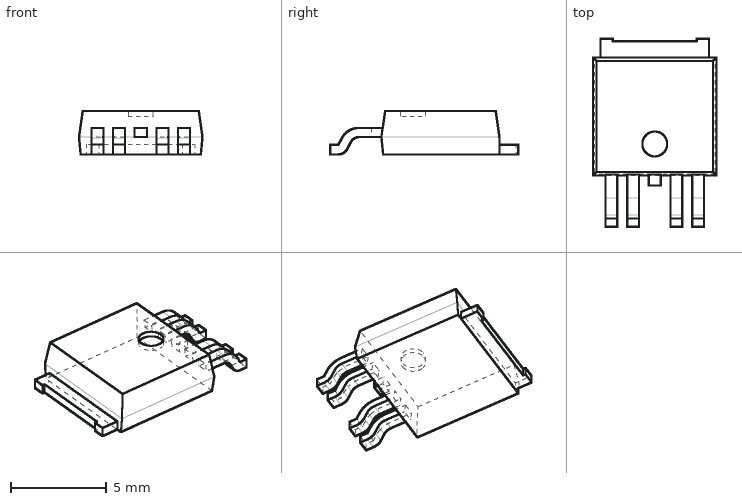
import cadquery as cq
import math

height = 2.3
parting_z = 0.91
housing_width = 6.5
housing_front_y = -2.26
housing_back_y = 3.96
upper_inset = 0.2
lower_inset = 0.09

recess_diameter = 1.31
recess_y = -0.59
recess_depth = 0.3

tab_width = 5.71
tab_height = 0.52
tab_end_y = 4.95
notch_width = 4.4
notch_depth = 0.14

lead_width = 0.63
lead_thickness = 0.495
lead_pitch = 1.14
lead_end_y = -4.95
stub_end_y = -2.78
lead_top_z = parting_z + lead_thickness
lead_slots = (-2, -1, 1, 2)

heel_y = -4.51
foot_height = tab_height
leg_angle = math.radians(62)
shoulder_radius = 1.02

upper_height = height - parting_z
lead_top_root_y = housing_front_y + upper_inset * lead_thickness / upper_height


def drafted_half(top_or_bottom_z, side_inset, front_inset, back_inset):
    """Loft from the parting outline to a smaller rectangle at the given level."""
    full_depth = housing_back_y - housing_front_y
    return (
        cq.Workplane("XY", origin=(0, 0, parting_z))
        .center(0, (housing_front_y + housing_back_y) / 2)
        .rect(housing_width, full_depth)
        .workplane(offset=top_or_bottom_z - parting_z)
        .center(0, (front_inset - back_inset) / 2)
        .rect(housing_width - 2 * side_inset, full_depth - front_inset - back_inset)
        .loft(ruled=True)
    )


def make_housing():
    upper = drafted_half(height, upper_inset, upper_inset, upper_inset)
    lower = drafted_half(0, lower_inset, lower_inset, 0)
    recess = (
        cq.Workplane("XY", origin=(0, recess_y, height - recess_depth))
        .circle(recess_diameter / 2)
        .extrude(recess_depth)
    )
    return upper.union(lower).cut(recess)


def make_tab():
    length = tab_end_y - housing_back_y
    tab = cq.Workplane("XY").box(tab_width, length, tab_height, centered=(True, False, False))
    notch = (
        cq.Workplane("XY")
        .box(notch_width, notch_depth, tab_height, centered=(True, False, False))
        .translate((0, length - notch_depth, 0))
    )
    return tab.cut(notch).translate((0, housing_back_y, 0))


def lead_sketch(x):
    """YZ workplane on the -X side of a lead centred at x."""
    return cq.Workplane("YZ", origin=(x - lead_width / 2, 0, 0))


def make_stub():
    return (
        lead_sketch(0)
        .moveTo(housing_front_y, parting_z)
        .lineTo(lead_top_root_y, lead_top_z)
        .lineTo(stub_end_y, lead_top_z)
        .lineTo(stub_end_y, parting_z)
        .close()
        .extrude(lead_width)
    )


def bend_point(start_y, start_z, radius, angle):
    """Point reached after turning down through an angle from a horizontal start."""
    return (start_y - radius * math.sin(angle), start_z - radius * (1 - math.cos(angle)))


def make_lead(x):
    half_angle = leg_angle / 2

    top_corner_y = heel_y + (lead_top_z - foot_height) / math.tan(leg_angle)
    bend_start_y = top_corner_y + shoulder_radius * math.tan(half_angle)

    leg_foot = (
        heel_y + foot_height * math.sin(leg_angle),
        foot_height - foot_height * math.cos(leg_angle),
    )
    heel_middle = (
        heel_y + foot_height * math.sin(half_angle),
        foot_height - foot_height * math.cos(half_angle),
    )
    under_corner_y = leg_foot[0] + (parting_z - leg_foot[1]) / math.tan(leg_angle)
    under_radius = (bend_start_y - under_corner_y) / math.tan(half_angle)

    return (
        lead_sketch(x)
        .moveTo(housing_front_y, parting_z)
        .lineTo(lead_top_root_y, lead_top_z)
        .lineTo(bend_start_y, lead_top_z)
        .threePointArc(
            bend_point(bend_start_y, lead_top_z, shoulder_radius, half_angle),
            bend_point(bend_start_y, lead_top_z, shoulder_radius, leg_angle),
        )
        .lineTo(heel_y, foot_height)
        .lineTo(lead_end_y, foot_height)
        .lineTo(lead_end_y, 0)
        .lineTo(heel_y, 0)
        .threePointArc(heel_middle, leg_foot)
        .lineTo(*bend_point(bend_start_y, parting_z, under_radius, leg_angle))
        .threePointArc(
            bend_point(bend_start_y, parting_z, under_radius, half_angle),
            (bend_start_y, parting_z),
        )
        .close()
        .extrude(lead_width)
    )


housing = make_housing()
tab = make_tab()
stub = make_stub()
leads = [make_lead(slot * lead_pitch) for slot in lead_slots]

result = cq.Compound.makeCompound(
    [housing.val(), tab.val(), stub.val(), *[lead.val() for lead in leads]]
)